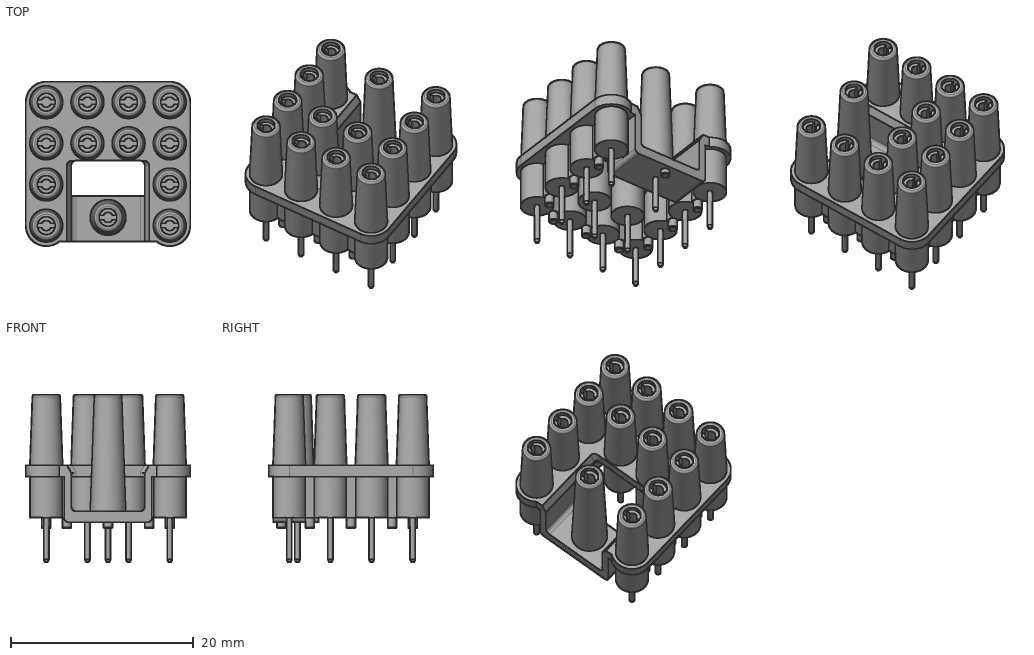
import cadquery as cq
import math

pitch = 4.5
outer_pin = 1.5 * pitch
inner_pin = 0.5 * pitch
center_pin = (0, -5.85)
pin_points = (
    [(x, y) for x in (-outer_pin, outer_pin) for y in (-outer_pin, -inner_pin, inner_pin, outer_pin)]
    + [(x, y) for x in (-inner_pin, inner_pin) for y in (inner_pin, outer_pin)]
)

skirt_bottom = 1.15
skirt_height = 4.5
plate_thickness = 1.25
pillar_height = 7.7
pin_length = 3.7
bracket_bottom = 0.65
bracket_thickness = 1.2
plate_bottom = skirt_bottom + skirt_height
plate_top = plate_bottom + plate_thickness
pillar_top = plate_top + pillar_height
bracket_floor = bracket_bottom + bracket_thickness

corner_radius = 2.25
plate_half = outer_pin + corner_radius
front_y = -8.5

opening_half_width = 4.0
opening_back_y = 0.35
opening_flare = 0.5
opening_flare_depth = 0.9
opening_fillet = 0.5
bracket_wall = 0.8
bracket_half_width = opening_half_width + bracket_wall
bracket_depth = 5.0
bracket_back_y = front_y + bracket_depth
bracket_fillet = 0.5

skirt_diameter = 3.6
pillar_base_diameter = skirt_diameter
pillar_top_diameter = 3.05
center_pillar_base_diameter = 3.9
center_pillar_top_diameter = 3.0
pillar_fillet = 0.25
web_thickness = 0.9

bore_diameter = 1.95
bore_depth = 0.5
contact_hole_diameter = 1.1
contact_slot_width = 0.5
contact_depth = 2.0

pin_diameter = 0.6
pin_tip_diameter = 0.3
pin_tip_length = 0.3
standoff_diameter = 1.0
standoff_chamfer = 0.1
center_standoff = (0, -7.6)


def block(x_min, x_max, y_min, y_max, z_min, z_max):
    """Axis-aligned box between two corners."""
    size = (x_max - x_min, y_max - y_min, z_max - z_min)
    return cq.Workplane("XY").box(*size, centered=False).translate((x_min, y_min, z_min))


def cylinder(point, diameter, z_min, z_max):
    """Upright cylinder."""
    base = cq.Workplane("XY", origin=(*point, z_min))
    return base.circle(diameter / 2).extrude(z_max - z_min)


def plate():
    """Rounded square plate with its front edge set back between the two corner lobes."""
    arc_middle = outer_pin + corner_radius * math.sqrt(0.5)
    lobe_end_x = outer_pin - math.sqrt(corner_radius**2 - (outer_pin + front_y) ** 2)
    outline = (
        cq.Workplane("XY", origin=(0, 0, plate_bottom))
        .moveTo(-lobe_end_x, front_y)
        .lineTo(lobe_end_x, front_y)
        .threePointArc((arc_middle, -arc_middle), (plate_half, -outer_pin))
        .lineTo(plate_half, outer_pin)
        .threePointArc((arc_middle, arc_middle), (outer_pin, plate_half))
        .lineTo(-outer_pin, plate_half)
        .threePointArc((-arc_middle, arc_middle), (-plate_half, outer_pin))
        .lineTo(-plate_half, -outer_pin)
        .threePointArc((-arc_middle, -arc_middle), (-lobe_end_x, front_y))
        .close()
    )
    return outline.extrude(plate_thickness)


def bracket():
    """Solid outline of the bracket, before the opening is cut."""
    body = block(-bracket_half_width, bracket_half_width, front_y, bracket_back_y, bracket_bottom, plate_top)
    return body.edges("|Y and <Z").fillet(bracket_fillet)


def opening():
    """Cutter for the opening: straight walls that flare outward at the plate top."""
    flare_bottom = plate_top - opening_flare_depth
    top_half_width = opening_half_width + opening_flare
    outline = [
        (-opening_half_width, plate_bottom),
        (opening_half_width, plate_bottom),
        (opening_half_width, flare_bottom),
        (top_half_width, plate_top),
        (-top_half_width, plate_top),
        (-opening_half_width, flare_bottom),
    ]
    section = cq.Workplane("XZ", origin=(0, opening_back_y, 0)).polyline(outline).close()
    through_plate = section.extrude(opening_back_y - front_y)
    through_plate = through_plate.faces(">Y").edges("not |X").fillet(opening_fillet)
    between_walls = block(
        -opening_half_width, opening_half_width, front_y, bracket_back_y, bracket_floor, plate_bottom
    )
    between_walls = between_walls.edges("|Y and <Z").fillet(opening_fillet)
    return through_plate.union(between_walls)


def pillar(point, base_z, base_diameter, top_diameter):
    """Tapered pillar with a rounded top edge."""
    base = cq.Workplane("XY", origin=(*point, base_z)).circle(base_diameter / 2)
    body = base.workplane(offset=pillar_top - base_z).circle(top_diameter / 2).loft()
    return body.faces(">Z").edges().fillet(pillar_fillet)


def socket(point):
    """Cutter for a bore with a slotted contact hole in its floor."""
    bore_floor = pillar_top - bore_depth
    contact_floor = bore_floor - contact_depth
    bore = cylinder(point, bore_diameter, contact_floor, pillar_top)
    x, y = point
    half_bore = bore_diameter / 2
    half_slot = contact_slot_width / 2
    slot = block(x - half_bore, x + half_bore, y - half_slot, y + half_slot, contact_floor, bore_floor)
    contact_hole = cylinder(point, contact_hole_diameter, contact_floor, bore_floor)
    contact = cylinder(point, bore_diameter, contact_floor, bore_floor).cut(slot).cut(contact_hole)
    return bore.cut(contact)


def pin(point, start_z):
    """Solder pin with a conical tip."""
    tip_start = pin_tip_length - pin_length
    shank = cylinder(point, pin_diameter, tip_start, start_z)
    tip = cq.Workplane("XY", origin=(*point, -pin_length)).circle(pin_tip_diameter / 2)
    tip = tip.workplane(offset=pin_tip_length).circle(pin_diameter / 2).loft()
    return shank.union(tip)


def standoff(point, end_z):
    """Round foot that rests on the mounting surface."""
    return cylinder(point, standoff_diameter, 0, end_z).faces("<Z").chamfer(standoff_chamfer)


def webs():
    """Webs that join the outer skirts to each other and the front skirts to the bracket."""
    half = web_thickness / 2
    z_range = (skirt_bottom, plate_bottom)
    body = block(-outer_pin, outer_pin, outer_pin - half, outer_pin + half, *z_range)
    for x in (-outer_pin, outer_pin):
        body = body.union(block(x - half, x + half, -outer_pin, outer_pin, *z_range))
    for x_min, x_max in ((-outer_pin, -bracket_half_width), (bracket_half_width, outer_pin)):
        body = body.union(block(x_min, x_max, -outer_pin - half, -outer_pin + half, *z_range))
    return body


result = plate().union(bracket()).cut(opening()).union(webs())

for point in pin_points:
    result = result.union(cylinder(point, skirt_diameter, skirt_bottom, plate_bottom))
    result = result.union(pillar(point, plate_top, pillar_base_diameter, pillar_top_diameter))
    result = result.union(pin(point, skirt_bottom)).cut(socket(point))

center_pillar = pillar(center_pin, bracket_floor, center_pillar_base_diameter, center_pillar_top_diameter)
result = result.union(center_pillar).union(pin(center_pin, bracket_bottom)).cut(socket(center_pin))

for offset in (-pitch, 0, pitch):
    for point in ((-outer_pin, offset), (outer_pin, offset), (offset, outer_pin)):
        result = result.union(standoff(point, skirt_bottom))
result = result.union(standoff(center_standoff, bracket_bottom))